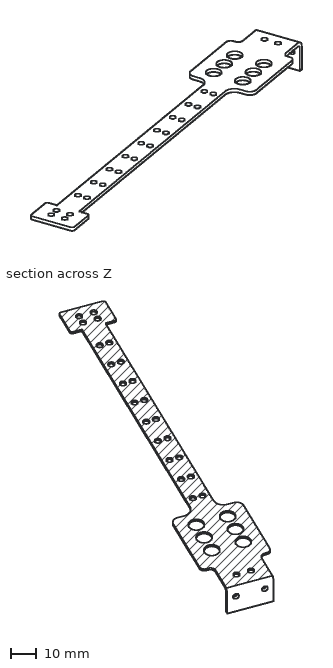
import cadquery as cq

length = 173.8
thickness = 1.5
flange_drop = 13.0
bend_inner_radius = 1.4
bend_outer_radius = bend_inner_radius + thickness

tab_width = 19.3
foot_length = 12.5
foot_corner_radius = 1.0
strap_width = 9.9
head_width = 29.4
head_length = 32.0
head_start = 127.5
head_end = head_start + head_length
head_front_corner_radius = 3.0
head_rear_corner_radius = 2.0
strap_fillet_radius = 4.0
neck_fillet_radius = 2.0

small_diameter = 2.5
large_diameter = 6.0
foot_holes_pitch = 4.0
foot_hole_rows = 2
foot_holes_x = 6.0
foot_holes_start = 4.9
strap_holes_x = 4.0
strap_holes_start = 23.5
strap_holes_pitch = 12.0
strap_hole_rows = 9
head_holes_x = 13.0
head_holes_start = head_start + 6.6
head_holes_pitch = 8.0
head_hole_rows = 3
neck_holes_x = 6.0
neck_holes_y = length - 7.0
flange_holes_x = 12.0
flange_holes_z = -5.4


def plate(width, start, end):
    """Flat strip centred on X, between two Y positions."""
    return (
        cq.Workplane("XY")
        .box(width, end - start, thickness, centered=(True, False, False))
        .translate((0, start, -thickness))
    )


def fillet_at(body, half_width, y, radius):
    """Round the mirrored pair of upright outline edges at (+-half_width, y)."""
    margin = 0.2
    for x in (-half_width, half_width):
        corner = cq.selectors.BoxSelector(
            (x - margin, y - margin, -thickness),
            (x + margin, y + margin, 0),
        )
        body = body.edges("|Z").edges(corner).fillet(radius)
    return body


def hole_pairs(spacing, start, pitch, rows, diameter):
    """Cutters for rows of two holes through the flat sheet."""
    points = [
        (side * spacing / 2, start + row * pitch)
        for row in range(rows)
        for side in (-1, 1)
    ]
    return (
        cq.Workplane("XY")
        .workplane(offset=-thickness)
        .pushPoints(points)
        .circle(diameter / 2)
        .extrude(thickness)
    )


def bent_tab():
    """Neck plate, bend and down-turned flange, drawn as one side profile."""
    bend_y = length - bend_outer_radius
    bend_z = -bend_outer_radius
    diagonal = 0.5 ** 0.5
    outer_mid = bend_outer_radius * diagonal
    inner_mid = bend_inner_radius * diagonal
    return (
        cq.Workplane("YZ")
        .moveTo(head_end, 0)
        .lineTo(bend_y, 0)
        .threePointArc((bend_y + outer_mid, bend_z + outer_mid), (length, bend_z))
        .lineTo(length, -flange_drop)
        .lineTo(length - thickness, -flange_drop)
        .lineTo(length - thickness, bend_z)
        .threePointArc((bend_y + inner_mid, bend_z + inner_mid), (bend_y, -thickness))
        .lineTo(head_end, -thickness)
        .close()
        .extrude(tab_width / 2, both=True)
    )


body = plate(tab_width, 0, foot_length)
body = body.union(plate(strap_width, foot_length, head_start))
body = body.union(plate(head_width, head_start, head_end))
body = body.union(bent_tab())

for foot_corner_y in (0, foot_length):
    body = fillet_at(body, tab_width / 2, foot_corner_y, foot_corner_radius)
body = fillet_at(body, head_width / 2, head_start, head_front_corner_radius)
body = fillet_at(body, head_width / 2, head_end, head_rear_corner_radius)
body = fillet_at(body, strap_width / 2, head_start, strap_fillet_radius)
body = fillet_at(body, tab_width / 2, head_end, neck_fillet_radius)

body = body.cut(
    hole_pairs(foot_holes_x, foot_holes_start, foot_holes_pitch, foot_hole_rows, small_diameter)
)
body = body.cut(
    hole_pairs(strap_holes_x, strap_holes_start, strap_holes_pitch, strap_hole_rows, small_diameter)
)
body = body.cut(
    hole_pairs(head_holes_x, head_holes_start, head_holes_pitch, head_hole_rows, large_diameter)
)
body = body.cut(hole_pairs(neck_holes_x, neck_holes_y, 0, 1, small_diameter))

flange_holes = (
    cq.Workplane("XZ", origin=(0, length, 0))
    .pushPoints([(side * flange_holes_x / 2, flange_holes_z) for side in (-1, 1)])
    .circle(small_diameter / 2)
    .extrude(thickness)
)
result = body.cut(flange_holes)